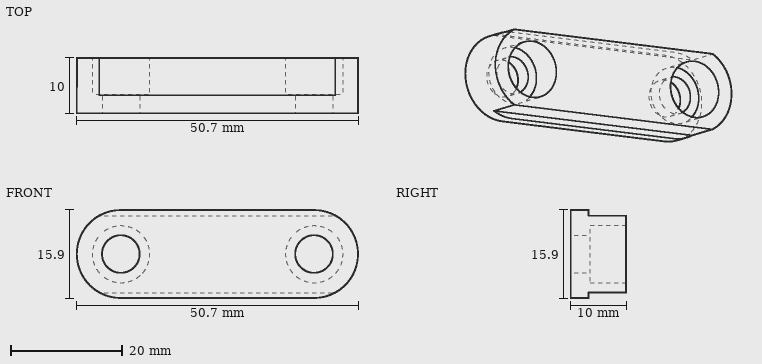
import cadquery as cq

length = 50.67
depth = 10.0
height = 15.88

flange_thickness = 3.25
body_height = 13.87

hole_diameter = 6.74
hole_spacing = length - height
counterbore_diameter = 10.3
counterbore_start = 3.4


def rounded_bar():
    """Full-depth bar with semicircular ends, front face on Y = 0."""
    return cq.Workplane("XZ").slot2D(length, height).extrude(-depth)


def flat_cutter(side):
    """Block that trims the body behind the flange; side is 1 for the top, -1 for the bottom."""
    cut_height = (height - body_height) / 2
    cut_depth = depth - flange_thickness
    center_y = flange_thickness + cut_depth / 2
    center_z = side * (body_height + cut_height) / 2
    return cq.Workplane("XY").box(length, cut_depth, cut_height).translate((0, center_y, center_z))


def cylinder_pair(diameter, start):
    """Two cylinders on the hole axes, running from Y = start to the back face."""
    return (
        cq.Workplane("XZ", origin=(0, start, 0))
        .pushPoints([(-hole_spacing / 2, 0), (hole_spacing / 2, 0)])
        .circle(diameter / 2)
        .extrude(start - depth)
    )


result = rounded_bar()
for side in (1, -1):
    result = result.cut(flat_cutter(side))
result = result.cut(cylinder_pair(hole_diameter, 0))
result = result.cut(cylinder_pair(counterbore_diameter, counterbore_start))